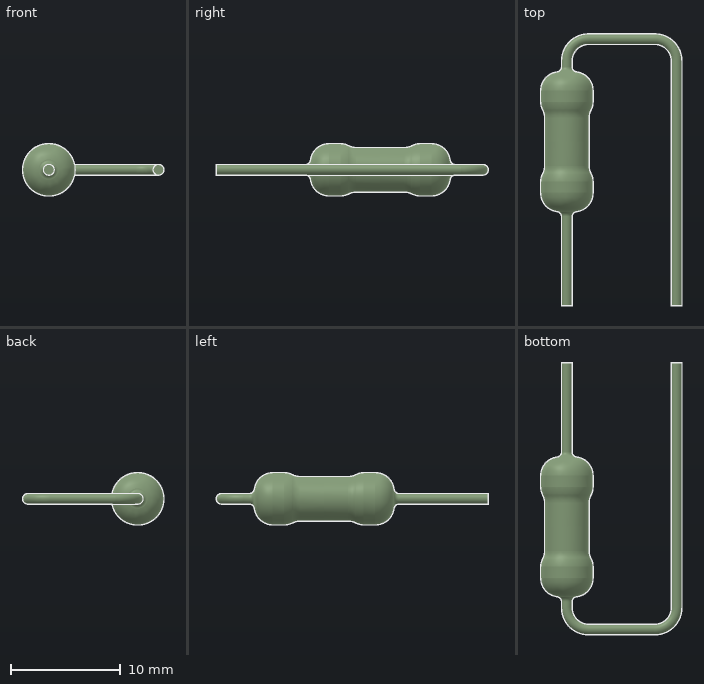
import cadquery as cq
import math

total_length = 24.8
lead_spacing = 10.0
wire_radius = 1.0 / 2
bend_radius = 1.98
crown_reach = 9.85

cap_radius = 4.8 / 2
waist_radius = 4.1 / 2
neck_radius = 0.92

waist_half = 2.2
cap_inner = 3.62
cap_outer = 4.65
shoulder_end = 6.37
neck_end = 6.82

crown_y = crown_reach - wire_radius
bend_start_y = crown_y - bend_radius
lead_end_y = crown_reach - total_length
flare_mid = ((waist_radius + cap_radius) / 2, (waist_half + cap_inner) / 2)
neck_fillet_mid = (
    neck_radius - (neck_radius - wire_radius) * math.sin(math.pi / 4),
    neck_end - (neck_end - shoulder_end) * math.sin(math.pi / 4),
)


def make_half_body():
    """Revolve the half of the body that lies on the +Y side."""
    return (
        cq.Workplane("XY")
        .lineTo(waist_radius, 0)
        .lineTo(waist_radius, waist_half)
        .tangentArcPoint(flare_mid, relative=False)
        .tangentArcPoint((cap_radius, cap_inner), relative=False)
        .lineTo(cap_radius, cap_outer)
        .tangentArcPoint((neck_radius, shoulder_end), relative=False)
        .threePointArc(neck_fillet_mid, (wire_radius, neck_end))
        .lineTo(0, neck_end)
        .close()
        .revolve(360, (0, 0), (0, 1))
    )


def make_wire():
    """Sweep the round wire through the body, over the crown and down the return lead."""
    diagonal = bend_radius * math.sin(math.pi / 4)
    first_centre_x = bend_radius
    second_centre_x = lead_spacing - bend_radius
    path = (
        cq.Workplane("XY")
        .moveTo(0, lead_end_y)
        .lineTo(0, bend_start_y)
        .threePointArc((first_centre_x - diagonal, bend_start_y + diagonal), (first_centre_x, crown_y))
        .lineTo(second_centre_x, crown_y)
        .threePointArc(
            (second_centre_x + diagonal, bend_start_y + diagonal),
            (lead_spacing, bend_start_y),
        )
        .lineTo(lead_spacing, lead_end_y)
    )
    return cq.Workplane("XZ", origin=(0, lead_end_y, 0)).circle(wire_radius).sweep(path)


half_body = make_half_body()
body = half_body.union(half_body.mirror("XZ"))
result = body.union(make_wire()).clean()